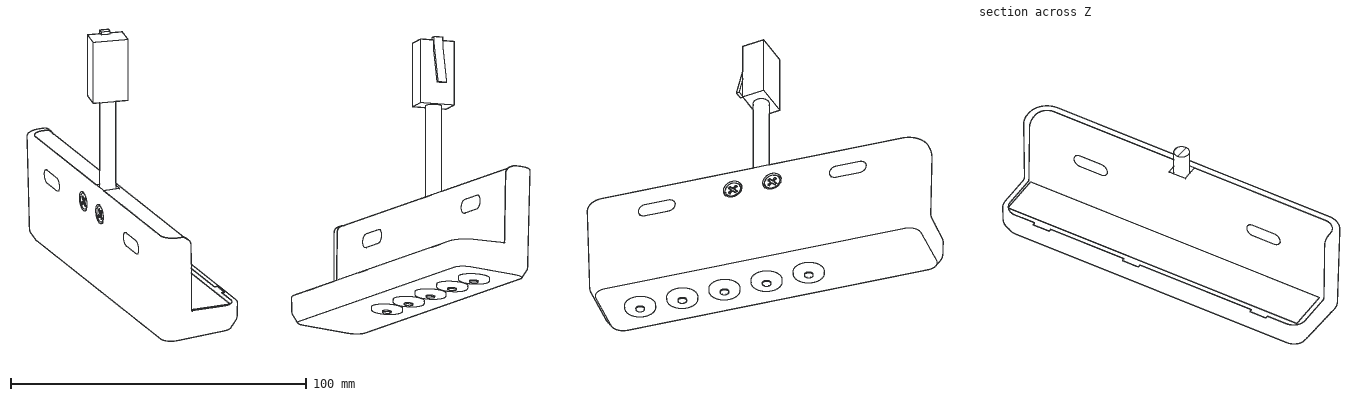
import cadquery as cq
import math


HOUSING_LENGTH = 121.35
HOUSING_DEPTH = 31.25
CORNER_RADIUS = 7.2
WALL_DRAFT = 1.4
BLANK_HEIGHT = 45.0

FLOOR_FRONT_Z = -37.62
FLOOR_SLOPE = 3.5
FLOOR_BEVEL_RISE = 3.15
FLOOR_BEVEL_RUN = 1.9
BEVEL_BLEND_RADIUS = 2.0

SHELF_Z = -26.9
UPRIGHT_BACK_TOP_Y = 11.1
UPRIGHT_BACK_FOOT_Y = 11.6
UPRIGHT_TOP_RADIUS = 2.5
STEP_CORNER_RADIUS = 0.8
RIM_FILLET = 0.5

LID_INSET = 2.6
LID_RECESS = 0.15
LID_CORNER_RADIUS = CORNER_RADIUS - LID_INSET
LATCH_XS = (-42.8, 7.4, 42.5)
LATCH_WIDTH = 6.3
LATCH_REACH = 1.1
PANEL_X_MIN = -56.4
PANEL_X_MAX = 57.3
PANEL_BACK_Y = 26.8
PANEL_THICKNESS = 0.15

SLOT_X = 34.0
SLOT_Z = -9.0
SLOT_LENGTH = 13.1
SLOT_HEIGHT = 4.75
SCREW_X = 7.0
SCREW_Z = -7.5
SCREW_BORE_RADIUS = 3.3
SCREW_BORE_DEPTH = 1.5
SCREW_HEAD_RADIUS = 2.75
SCREW_HEAD_SETBACK = 0.4
SCREW_HEAD_ROOT = 0.5
CROSS_SPAN = 3.6
CROSS_ANGLES = (45, -45)
CROSS_WIDTH = 0.8
CROSS_DEPTH = 0.6

BUTTON_XS = (-45.0, -30.0, -15.0, 0.0, 15.0)
BUTTON_Y = 16.0
BUTTON_RADIUS = 5.3
BUTTON_HEIGHT = 1.25
BUTTON_EDGE_FILLET = 0.4
BUTTON_DOT_RADIUS = 1.5
BUTTON_DOT_HEIGHT = 0.4
BUTTON_ROOT = 1.0

CABLE_X = 1.46
CABLE_Y = 5.6
CABLE_RADIUS = 2.75
CABLE_OPENING_WIDTH = 6.4
CABLE_OPENING_DEPTH = 3.0
PLUG_BOTTOM_Z = 31.7
PLUG_TOP_Z = 53.7
PLUG_WIDTH = 8.0
PLUG_LENGTH = 12.2
PLUG_TURN = -9.0

CLIP_WIDTH = 3.1
CLIP_TOP_Z = 54.71
CLIP_BEND_Z = 52.0
CLIP_TIP_Z = 38.4
CLIP_HOOK = 1.3
CLIP_STANDOFF = 0.9
CLIP_SPREAD = 4.7
CLIP_THICKNESS = 1.1

CLEARANCE = 10.0


def floor_z(y):
    """Height of the sloping underside at a given Y."""
    return FLOOR_FRONT_Z + y * math.tan(math.radians(FLOOR_SLOPE))


def floor_plane(x, y):
    """Work plane on the underside with its normal pointing out of the housing."""
    slope = math.radians(FLOOR_SLOPE)
    normal = (0, math.sin(slope), -math.cos(slope))
    return cq.Plane(origin=(x, y, floor_z(y)), xDir=(1, 0, 0), normal=normal)


def nearest(x, y, z):
    return cq.selectors.NearestToPointSelector((x, y, z))


def rounded_plan(length, depth, radius):
    sketch = cq.Sketch().rect(length, depth).vertices().fillet(radius)
    return cq.Workplane("XY").center(0, HOUSING_DEPTH / 2).placeSketch(sketch)


def make_blank():
    """Drafted block with rounded corners, cut off by the bevelled, sloping underside."""
    plan = rounded_plan(HOUSING_LENGTH, HOUSING_DEPTH, CORNER_RADIUS)
    blank = plan.extrude(-BLANK_HEIGHT, taper=WALL_DRAFT)
    far_y = HOUSING_DEPTH + CLEARANCE
    below_floor = (
        cq.Workplane("YZ")
        .moveTo(-CLEARANCE, floor_z(-CLEARANCE))
        .lineTo(far_y, floor_z(far_y))
        .lineTo(far_y, -BLANK_HEIGHT - CLEARANCE)
        .lineTo(-CLEARANCE, -BLANK_HEIGHT - CLEARANCE)
        .close()
        .extrude(HOUSING_LENGTH, both=True)
    )
    blank = blank.cut(below_floor)
    blank = blank.faces("<Z").chamfer(FLOOR_BEVEL_RISE, FLOOR_BEVEL_RUN)
    bevel_top_edge = nearest(0, 0, FLOOR_FRONT_Z + FLOOR_BEVEL_RISE)
    return blank.edges(bevel_top_edge).fillet(BEVEL_BLEND_RADIUS)


def space_above_step(offset):
    """Everything above the L-shaped step, lowered by the given offset."""
    back_y = HOUSING_DEPTH + CLEARANCE
    top_z = -offset
    shelf_z = SHELF_Z - offset
    space = (
        cq.Workplane("YZ")
        .moveTo(-CLEARANCE, top_z)
        .lineTo(UPRIGHT_BACK_TOP_Y - offset, top_z)
        .lineTo(UPRIGHT_BACK_FOOT_Y - offset, shelf_z)
        .lineTo(back_y, shelf_z)
        .lineTo(back_y, CLEARANCE)
        .lineTo(-CLEARANCE, CLEARANCE)
        .close()
        .extrude(HOUSING_LENGTH, both=True)
    )
    upright_edge = nearest(0, UPRIGHT_BACK_TOP_Y - offset, top_z)
    space = space.edges("|X").edges(upright_edge).fillet(UPRIGHT_TOP_RADIUS)
    inner_edge = nearest(0, UPRIGHT_BACK_FOOT_Y - offset, shelf_z)
    return space.edges("|X").edges(inner_edge).fillet(STEP_CORNER_RADIUS)


def make_lid_recess():
    """Shallow sinking of the lid below the rim, with latch notches along the back."""
    length = HOUSING_LENGTH - 2 * LID_INSET
    depth = HOUSING_DEPTH - 2 * LID_INSET
    region = rounded_plan(length, depth, LID_CORNER_RADIUS).extrude(BLANK_HEIGHT, both=True)
    lid_back_y = HOUSING_DEPTH - LID_INSET
    for x in LATCH_XS:
        latch = cq.Workplane("XY").box(LATCH_WIDTH, 2 * LATCH_REACH, 2 * BLANK_HEIGHT)
        region = region.union(latch.translate((x, lid_back_y, 0)))
    return space_above_step(LID_RECESS).intersect(region)


def make_panel():
    """Thin rectangular panel lying on the shelf part of the lid."""
    front_y = UPRIGHT_BACK_FOOT_Y
    length = PANEL_X_MAX - PANEL_X_MIN
    depth = PANEL_BACK_Y - front_y
    panel = cq.Workplane("XY").box(length, depth, 2 * PANEL_THICKNESS, centered=(False, False, True))
    return panel.translate((PANEL_X_MIN, front_y, SHELF_Z - LID_RECESS))


def make_slots():
    slots = cq.Workplane("XZ").pushPoints([(-SLOT_X, SLOT_Z), (SLOT_X, SLOT_Z)])
    return slots.slot2D(SLOT_LENGTH, SLOT_HEIGHT).extrude(HOUSING_DEPTH, both=True)


def front_pegs(radius, y_start, y_end):
    """Cylinders along Y at both screw positions."""
    pegs = cq.Workplane("XZ", origin=(0, y_start, 0))
    pegs = pegs.pushPoints([(-SCREW_X, SCREW_Z), (SCREW_X, SCREW_Z)])
    return pegs.circle(radius).extrude(y_start - y_end)


def add_screws(housing):
    """Sunken screw heads with a diagonal cross recess."""
    housing = housing.cut(front_pegs(SCREW_BORE_RADIUS, -CLEARANCE, SCREW_BORE_DEPTH))
    head_end = SCREW_BORE_DEPTH + SCREW_HEAD_ROOT
    housing = housing.union(front_pegs(SCREW_HEAD_RADIUS, SCREW_HEAD_SETBACK, head_end))
    for x in (-SCREW_X, SCREW_X):
        for angle in CROSS_ANGLES:
            bar = cq.Workplane("XY").box(CROSS_SPAN, 2 * CROSS_DEPTH, CROSS_WIDTH)
            bar = bar.rotate((0, 0, 0), (0, 1, 0), angle)
            housing = housing.cut(bar.translate((x, SCREW_HEAD_SETBACK, SCREW_Z)))
    return housing


def make_button(x):
    """Push button standing square to the underside, with a small raised dot."""
    base = floor_plane(x, BUTTON_Y)
    button = cq.Workplane(base).workplane(offset=-BUTTON_ROOT)
    button = button.circle(BUTTON_RADIUS).extrude(BUTTON_ROOT + BUTTON_HEIGHT)
    button = button.faces("<Z").edges().fillet(BUTTON_EDGE_FILLET)
    dot = cq.Workplane(base).circle(BUTTON_DOT_RADIUS).extrude(BUTTON_HEIGHT + BUTTON_DOT_HEIGHT)
    return button.union(dot)


def make_cable_opening():
    """Rectangular opening in the upright's top, from the lid's front seam to behind the cable."""
    depth = 2 * (CABLE_Y - LID_INSET)
    opening = cq.Workplane("XY").box(CABLE_OPENING_WIDTH, depth, 2 * CABLE_OPENING_DEPTH)
    return opening.translate((CABLE_X, CABLE_Y, 0))


def make_cable():
    cable = cq.Workplane("XY", origin=(CABLE_X, CABLE_Y, -CABLE_OPENING_DEPTH))
    return cable.circle(CABLE_RADIUS).extrude(CABLE_OPENING_DEPTH + PLUG_BOTTOM_Z)


def make_clip():
    """Latch clip hooked over the plug's top edge and springing away from its -X face."""
    face_x = -PLUG_WIDTH / 2
    outer_x = face_x - CLIP_STANDOFF
    tip_x = face_x - CLIP_SPREAD
    clip = (
        cq.Workplane("XZ")
        .moveTo(face_x + CLIP_HOOK, PLUG_TOP_Z)
        .lineTo(face_x + CLIP_HOOK, CLIP_TOP_Z)
        .lineTo(outer_x, CLIP_TOP_Z)
        .lineTo(outer_x, CLIP_BEND_Z)
        .lineTo(tip_x, CLIP_TIP_Z)
        .lineTo(tip_x + CLIP_THICKNESS, CLIP_TIP_Z)
        .lineTo(outer_x + CLIP_THICKNESS, CLIP_BEND_Z)
        .lineTo(outer_x + CLIP_THICKNESS, PLUG_TOP_Z)
        .close()
    )
    return clip.extrude(CLIP_WIDTH / 2, both=True)


def make_plug():
    plug = cq.Workplane("XY", origin=(0, 0, PLUG_BOTTOM_Z))
    plug = plug.rect(PLUG_WIDTH, PLUG_LENGTH).extrude(PLUG_TOP_Z - PLUG_BOTTOM_Z)
    plug = plug.union(make_clip())
    plug = plug.rotate((0, 0, 0), (0, 0, 1), PLUG_TURN)
    return plug.translate((CABLE_X, CABLE_Y, 0))


def make_housing():
    housing = make_blank().cut(space_above_step(0))
    housing = housing.edges(nearest(0, 0, 0)).fillet(RIM_FILLET)
    housing = housing.cut(make_lid_recess())
    housing = housing.union(make_panel())
    housing = housing.cut(make_slots())
    housing = add_screws(housing)
    for x in BUTTON_XS:
        housing = housing.union(make_button(x))
    return housing.cut(make_cable_opening())


result = make_housing().union(make_cable()).union(make_plug())